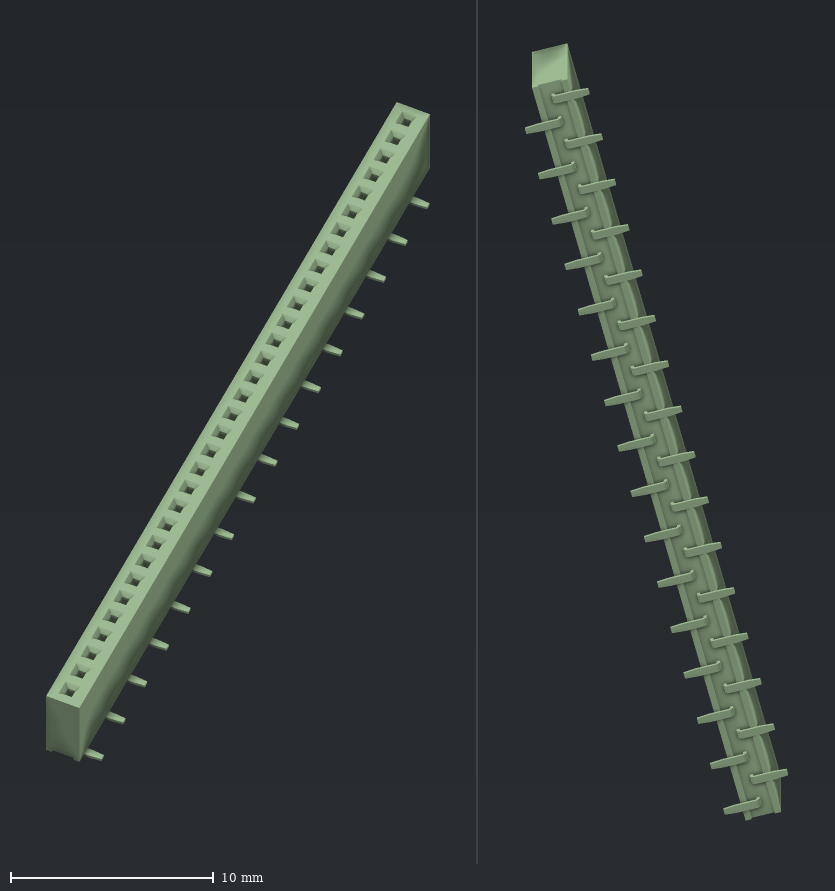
import cadquery as cq

body_length = 41.0
body_width = 1.8
total_height = 4.55
body_bottom = 0.25
channel_width = 1.2
channel_depth = 0.15

contact_count = 32
end_margin = 0.8
pitch = (body_length - 2 * end_margin) / (contact_count - 1)
lead_span = 3.55
lead_width = 0.39
tip_width = 0.3
taper_length = 0.6
lead_thickness = 0.15
inner_bend = 0.1
outer_bend = inner_bend + lead_thickness

mouth_size = 0.8
well_size = 0.4
slot_width = 0.15
slot_length = 0.3
funnel_depth = 0.2
well_depth = 1.25
slot_depth = 2.85

overlap = 0.1

contact_positions = [
    (index - (contact_count - 1) / 2) * pitch for index in range(contact_count)
]


def make_housing():
    """Long bar with a shallow channel along its underside."""
    bar = cq.Workplane("XY").box(
        body_width, body_length, total_height - body_bottom, centered=(True, True, False)
    )
    channel = cq.Workplane("XY").box(
        channel_width, body_length, channel_depth, centered=(True, True, False)
    )
    return bar.cut(channel).translate((0, 0, body_bottom))


def make_socket():
    """Square well with a funnel mouth at the top face and a narrower blind slot in its floor."""
    top = cq.Workplane("XY", origin=(0, 0, total_height))
    funnel = (
        top.rect(mouth_size, mouth_size)
        .workplane(offset=-funnel_depth)
        .rect(well_size, well_size)
        .loft(ruled=True)
    )
    well = top.rect(well_size, well_size).extrude(-well_depth)
    slot = top.rect(slot_width, slot_length).extrude(-slot_depth)
    return funnel.union(well).union(slot)


def make_contact(side):
    """L-shaped strip: a stub at the centre and a foot reaching out to the given side in X."""
    stub_back = -side * lead_thickness / 2
    stub_front = side * lead_thickness / 2
    tip = side * lead_span / 2
    taper_start = tip - side * taper_length
    stub_top = body_bottom + channel_depth + overlap
    strip = (
        cq.Workplane("XZ")
        .moveTo(stub_back, stub_top)
        .lineTo(stub_back, outer_bend)
        .radiusArc((stub_back + side * outer_bend, 0), -side * outer_bend)
        .lineTo(tip, 0)
        .lineTo(tip, lead_thickness)
        .lineTo(stub_front + side * inner_bend, lead_thickness)
        .radiusArc((stub_front, outer_bend), side * inner_bend)
        .lineTo(stub_front, stub_top)
        .close()
        .extrude(lead_width / 2, both=True)
    )
    tapered_plan = (
        cq.Workplane("XY")
        .moveTo(stub_back, -lead_width / 2)
        .lineTo(taper_start, -lead_width / 2)
        .lineTo(tip, -tip_width / 2)
        .lineTo(tip, tip_width / 2)
        .lineTo(taper_start, lead_width / 2)
        .lineTo(stub_back, lead_width / 2)
        .close()
        .extrude(stub_top)
    )
    return strip.intersect(tapered_plan)


socket = make_socket().val()
contacts = [make_contact(1).val(), make_contact(-1).val()]
sockets = [socket.translate(cq.Vector(0, y, 0)) for y in contact_positions]
leads = [
    contacts[index % 2].translate(cq.Vector(0, y, 0))
    for index, y in enumerate(contact_positions)
]

housing = make_housing().val().cut(*sockets)
result = cq.Workplane("XY").newObject([housing.fuse(*leads)])